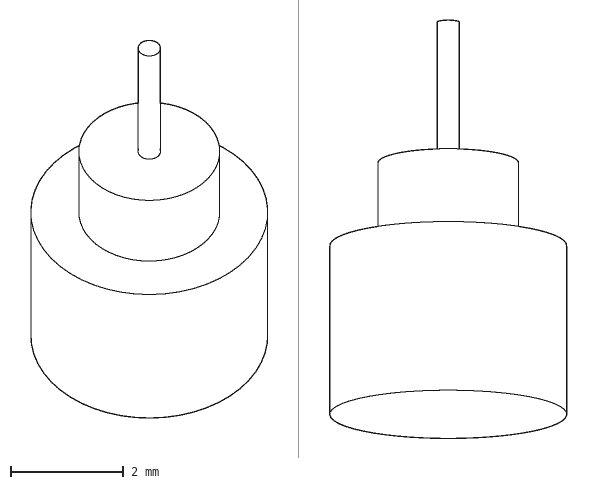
import cadquery as cq

total_height = 7.1
body_diameter = 4.2
body_height = 3.05
collar_diameter = 2.5
collar_height = 1.5
pin_diameter = 0.4

pin_length = total_height - body_height - collar_height


def add_cylinder_on_top(part, diameter, height):
    """Stack a concentric cylinder on the highest face of the part."""
    return part.faces(">Z").workplane().circle(diameter / 2).extrude(height)


body = cq.Workplane("XY").circle(body_diameter / 2).extrude(body_height)

body_with_collar = add_cylinder_on_top(body, collar_diameter, collar_height)

result = add_cylinder_on_top(body_with_collar, pin_diameter, pin_length)